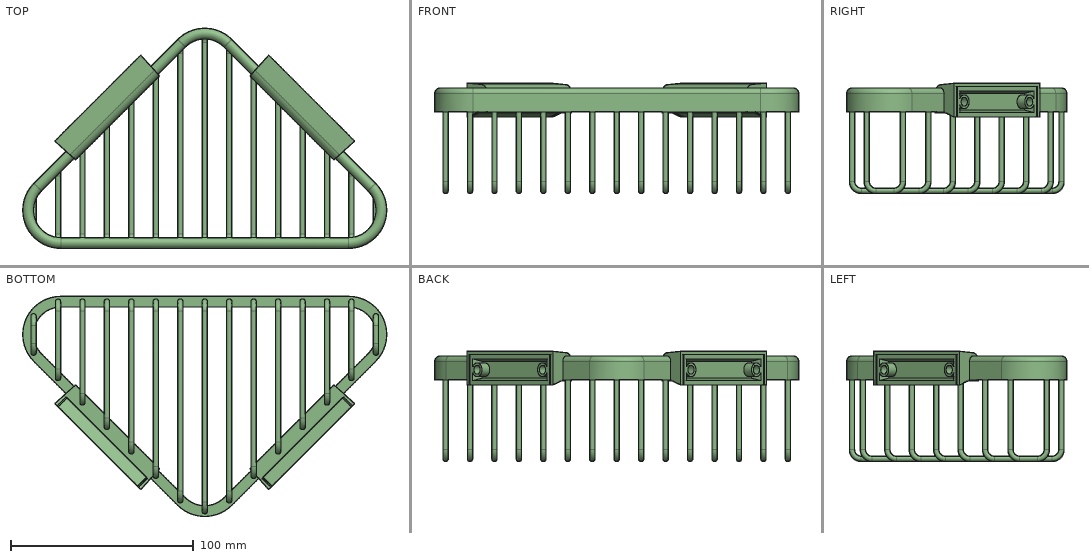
import cadquery as cq
import math

length = 200.0
rail_width = 6.0
rail_corner = 21.0
rail_bottom = 44.8
rail_top = 58.0
half_width = rail_width / 2
rail_shoulder = rail_top - half_width
bend_radius = rail_corner - half_width
corner_x = length / 2 - rail_corner
corner_y = rail_corner
apex_y = corner_y + corner_x
diagonal = math.sqrt(0.5)

wire_count = 15
wire_span = 188.0
wire_spacing = wire_span / (wire_count - 1)
wire_radius = 1.5
wire_bend = 5.0
wire_overlap = 2.0

mount_length = 66.8
inner_length = 65.2
mount_shift = 2.0
wall_face = 11.2
inner_face = 4.2
mount_bottom = 42.0
mount_top = 60.5
top_drop = 0.8
underside = 44.2
slope_depth = 6.8
end_wall = 1.8
top_wall = 1.8

plate_depth = 7.0
plate_gap = 0.8
plate_length = mount_length - 2 * (end_wall + plate_gap)
plate_top = mount_top - top_wall
plate_middle = (mount_bottom + plate_top) / 2
recess_length = 57.5
recess_height = 12.0
recess_depth = 6.0
recess_inset = 1.4
boss_radius = 3.8
screw_hole_radius = 2.4
screw_spacing = 50.8


def arc_point(center, radius, degrees):
    """Point on a circle at the given angle."""
    angle = math.radians(degrees)
    return (center[0] + radius * math.cos(angle), center[1] + radius * math.sin(angle))


def make_rail():
    right = (corner_x, corner_y)
    rear = (0, apex_y)
    left = (-corner_x, corner_y)
    path = (
        cq.Workplane("XY")
        .moveTo(0, half_width)
        .lineTo(corner_x, half_width)
        .threePointArc(arc_point(right, bend_radius, -22.5), arc_point(right, bend_radius, 45))
        .lineTo(*arc_point(rear, bend_radius, 45))
        .threePointArc(arc_point(rear, bend_radius, 90), arc_point(rear, bend_radius, 135))
        .lineTo(*arc_point(left, bend_radius, 135))
        .threePointArc(arc_point(left, bend_radius, 202.5), arc_point(left, bend_radius, 270))
        .close()
    )
    return rail_section().sweep(path)


def rail_section():
    """Cross-section at the middle of the front side."""
    return (
        cq.Workplane("YZ")
        .moveTo(0, rail_bottom)
        .lineTo(rail_width, rail_bottom)
        .lineTo(rail_width, rail_shoulder)
        .threePointArc((half_width, rail_top), (0, rail_shoulder))
        .close()
    )


def rail_crossings(x):
    """Front and rear Y of the rail's middle line at a given X."""
    distance = abs(x)
    front = half_width
    if distance > corner_x:
        front = corner_y - math.sqrt(bend_radius**2 - (distance - corner_x) ** 2)
    if distance < bend_radius * diagonal:
        rear = apex_y + math.sqrt(bend_radius**2 - distance**2)
    elif distance < corner_x + bend_radius * diagonal:
        rear = apex_y + bend_radius / diagonal - distance
    else:
        rear = corner_y + math.sqrt(bend_radius**2 - (distance - corner_x) ** 2)
    return front, rear


def make_wire(x):
    front, rear = rail_crossings(x)
    top = rail_bottom + wire_overlap
    floor = wire_radius
    bend_level = floor + wire_bend
    bend_offset = wire_bend * (1 - diagonal)
    path = (
        cq.Workplane("YZ", origin=(x, 0, 0))
        .moveTo(front, top)
        .lineTo(front, bend_level)
        .threePointArc((front + bend_offset, floor + bend_offset), (front + wire_bend, floor))
        .lineTo(rear - wire_bend, floor)
        .threePointArc((rear - bend_offset, floor + bend_offset), (rear, bend_level))
        .lineTo(rear, top)
    )
    return cq.Workplane("XY", origin=(x, front, top)).circle(wire_radius).sweep(path)


def make_basket():
    basket = make_rail()
    for number in range(wire_count):
        x = (number - (wire_count - 1) / 2) * wire_spacing
        basket = basket.union(make_wire(x))
    return basket




def mount_block():
    """The whole outer shape of a mount, with both ends leaning in away from the wall."""
    round_start = mount_top - top_drop
    round_end = rail_shoulder
    round_radius = (inner_face**2 + (round_start - round_end) ** 2) / (2 * inner_face)
    profile = (
        cq.Workplane("YZ", origin=(-mount_length / 2, 0, 0))
        .moveTo(-inner_face, underside)
        .lineTo(wall_face - slope_depth, underside)
        .lineTo(wall_face, mount_bottom)
        .lineTo(wall_face, mount_top)
        .lineTo(0, round_start)
        .radiusArc((-inner_face, round_end), -round_radius)
        .close()
        .extrude(mount_length)
    )
    plan = (
        cq.Workplane("XY")
        .moveTo(-mount_length / 2, wall_face)
        .lineTo(mount_length / 2, wall_face)
        .lineTo(inner_length / 2, -inner_face)
        .lineTo(-inner_length / 2, -inner_face)
        .close()
        .extrude(mount_top)
    )
    return profile.intersect(plan)


def plate_space(extent):
    """Part of the mount that lies below the top wall and near the wall face."""
    center = (0, wall_face - plate_depth / 2, plate_middle)
    block = cq.Workplane("XY", origin=center).box(extent, plate_depth, plate_top - mount_bottom)
    return mount_block().intersect(block)


def make_cover():
    """Shell with a pocket for the wall plate, open at the wall face and at the bottom."""
    return mount_block().cut(plate_space(mount_length - 2 * end_wall))


def make_plate():
    screw_places = [(-screw_spacing / 2, 0), (screw_spacing / 2, 0)]
    face = cq.Workplane("XZ", origin=(0, wall_face, plate_middle))
    lean = math.degrees(math.atan(recess_inset / recess_depth))
    recess = face.rect(recess_length, recess_height).extrude(recess_depth, taper=lean)
    bosses = face.pushPoints(screw_places).circle(boss_radius).extrude(recess_depth)
    holes = face.pushPoints(screw_places).circle(screw_hole_radius).extrude(plate_depth)
    return plate_space(plate_length).cut(recess.cut(bosses)).cut(holes)


def on_left_side(body):
    """Turn a mount body to the left sloping side of the rail."""
    middle = arc_point((-corner_x / 2, (corner_y + apex_y) / 2), bend_radius, 135)
    place = arc_point(middle, mount_shift, 45)
    return body.rotate((0, 0, 0), (0, 0, 1), 45).translate((place[0], place[1], 0))


def pair(left):
    """A body on the left sloping side and its mirror image on the right."""
    return [left.val(), left.mirror("YZ").val()]


basket = make_basket()
covers = pair(on_left_side(make_cover()).cut(basket))
plates = pair(on_left_side(make_plate()))
result = cq.Compound.makeCompound([basket.val(), *covers, *plates])